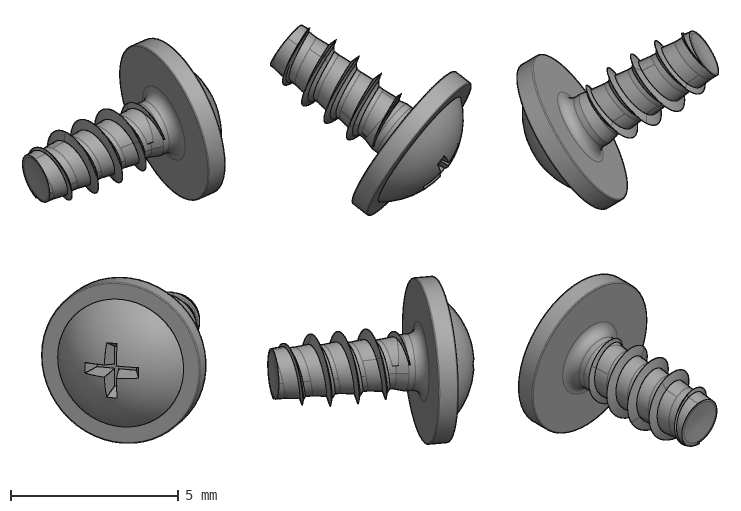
import cadquery as cq
import math


flange_radius = 2.5
flange_thickness = 0.6
flange_edge_fillet = 0.03
dome_radius = 1.985
dome_height = 0.98
crown_y = flange_thickness + dome_height

recess_depth = 0.61
recess_length = 1.845
recess_width = 0.39
recess_end_draft = 0.5
recess_side_draft = 0.21

screw_length = 4.505
neck_radius = 0.85
neck_fillet = 0.345
neck_length = 0.545
neck_taper_length = 0.365
core_radius = 0.75
dish_radius = 0.69
dish_depth = 0.06

pitch = 0.85
crest_radius = 1.105
crest_start_y = -0.47
first_turn = 0.05
full_depth_turn = 1.1
fade_turn = 3.3
last_turn = 4.75
start_depth = 0.45
end_depth = 0.14
spans_per_stage = 3
steps_per_span = 12

crest_height = crest_radius - core_radius
shoulder_offset = 0.065
shoulder_height = 0.135
head_foot_offset = 0.21
tip_foot_offset = 0.09
root_height = 0.05
root_taper_end = 0.57
root_end_sink = 0.005
burial = 0.035


def make_head_and_shank():
    """Revolve the flange, dome, neck and core in one profile about the Y axis."""
    sphere_radius = (dome_radius**2 + dome_height**2) / (2 * dome_height)
    middle_x = dome_radius / 2
    middle_y = crown_y - sphere_radius + math.sqrt(sphere_radius**2 - middle_x**2)
    fillet_run = neck_fillet * (1 - math.sqrt(0.5))
    profile = (
        cq.Workplane("XY")
        .moveTo(0, crown_y)
        .threePointArc((middle_x, middle_y), (dome_radius, flange_thickness))
        .lineTo(flange_radius - flange_edge_fillet, flange_thickness)
        .radiusArc((flange_radius, flange_thickness - flange_edge_fillet), flange_edge_fillet)
        .lineTo(flange_radius, flange_edge_fillet)
        .radiusArc((flange_radius - flange_edge_fillet, 0), flange_edge_fillet)
        .lineTo(neck_radius + neck_fillet, 0)
        .threePointArc((neck_radius + fillet_run, -fillet_run), (neck_radius, -neck_fillet))
        .lineTo(neck_radius, -neck_length)
        .lineTo(core_radius, -neck_length - neck_taper_length)
        .lineTo(core_radius, -screw_length - pitch)
        .lineTo(0, -screw_length - pitch)
        .close()
    )
    return profile.revolve(360, (0, 0, 0), (0, 1, 0))


def thread_depth(turn):
    """Fraction of the full thread depth, ramping at both ends of the thread."""
    if turn < full_depth_turn:
        ramp = (turn - first_turn) / (full_depth_turn - first_turn)
        return start_depth + (1 - start_depth) * ramp
    if turn > fade_turn:
        ramp = (last_turn - turn) / (last_turn - fade_turn)
        return end_depth + (1 - end_depth) * ramp
    return 1.0


def section_points(turn):
    """Corners of the thread section at the given turn, from the head-side foot to the buried tip side.

    The ridge shrinks with the thread depth, while the root taper on its tip side stays the same.
    """
    depth = thread_depth(turn)
    offsets_and_heights = [
        (-head_foot_offset * depth, -burial),
        (-shoulder_offset * depth, shoulder_height * depth),
        (0, crest_height * depth),
        (tip_foot_offset * depth, root_height),
        (root_taper_end, -root_end_sink),
        (root_taper_end, -burial),
    ]
    angle = 2 * math.pi * turn
    crest_y = crest_start_y - pitch * turn
    points = []
    for offset, height in offsets_and_heights:
        radius = core_radius + height
        points.append(cq.Vector(radius * math.cos(angle), crest_y - offset, radius * math.sin(angle)))
    return points


def make_thread():
    """Join helical edges by ruled faces, span by span, and cap both ends."""
    limits = [first_turn, full_depth_turn, fade_turn, last_turn]
    span_starts = [
        start + (end - start) * i / spans_per_stage
        for start, end in zip(limits, limits[1:])
        for i in range(spans_per_stage)
    ]
    span_ends = span_starts[1:] + [last_turn]

    faces = []
    for start, end in zip(span_starts, span_ends):
        turns = [start + (end - start) * i / steps_per_span for i in range(steps_per_span + 1)]
        corner_paths = zip(*[section_points(turn) for turn in turns])
        edges = [cq.Edge.makeSpline(list(path), parameters=turns) for path in corner_paths]
        next_edges = edges[1:] + edges[:1]
        faces += [cq.Face.makeRuledSurface(a, b) for a, b in zip(edges, next_edges)]
    for turn in (first_turn, last_turn):
        outline = cq.Wire.makePolygon(section_points(turn), close=True)
        faces.append(cq.Face.makeFromWires(outline))
    return cq.Workplane(cq.Solid.makeSolid(cq.Shell.makeShell(faces)))


def make_tip_trim():
    """Everything beyond the tip plane, plus the shallow conical dish in the tip."""
    beyond_tip = (
        cq.Workplane("XZ", origin=(0, -screw_length, 0))
        .circle(2 * crest_radius)
        .extrude(2 * pitch)
    )
    dish = cq.Solid.makeCone(
        dish_radius, 0, dish_depth, cq.Vector(0, -screw_length, 0), cq.Vector(0, 1, 0)
    )
    return beyond_tip.union(cq.Workplane(dish))


def make_recess():
    """Two crossed, drafted slots sunk into the crown of the dome."""
    floor_length = recess_length - 2 * recess_end_draft * recess_depth
    floor_width = recess_width - 2 * recess_side_draft * recess_depth
    slot = (
        cq.Workplane("XZ", origin=(0, crown_y, 0))
        .rect(recess_length, recess_width)
        .workplane(offset=recess_depth)
        .rect(floor_length, floor_width)
        .loft(ruled=True)
    )
    return slot.union(slot.rotate((0, 0, 0), (0, 1, 0), 90))


body = make_head_and_shank().union(make_thread())
result = body.cut(make_tip_trim()).cut(make_recess())